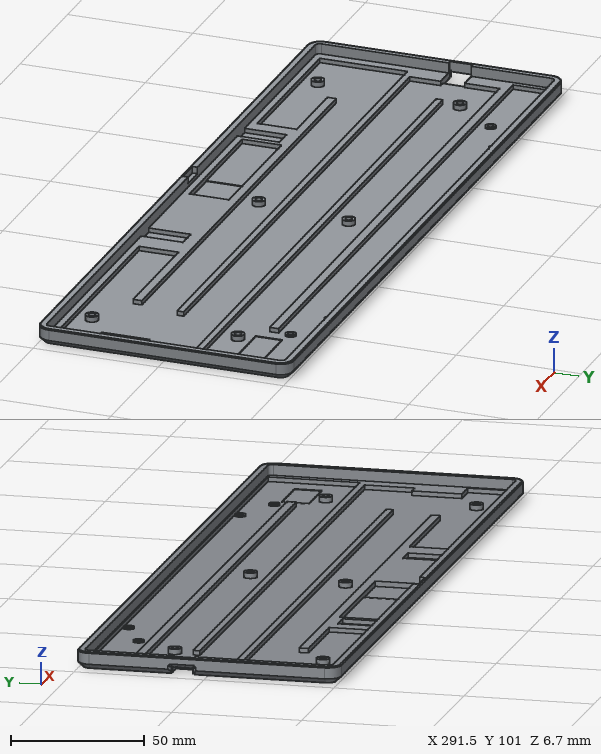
import cadquery as cq

length = 291.5
width = 101.0
height = 6.7
corner_radius = 5.2
bottom_chamfer = 2.0
top_chamfer = 0.45
rim_width = 3.0
inner_corner_radius = 1.7

ledge_top = 2.5
pocket_floor = 1.0
label_floor = 0.5
deep_bay_floor = 0.5

back_y = 47.2
rib_1_back, rib_1_front = 31.5, 28.0
rib_2_back, rib_2_front = 12.0, 9.3
rib_3_back, rib_3_front = -7.3, -10.0
rib_4_back, rib_4_front = -25.7, -29.1
front_y = -45.0

slot_sides = [(-66.7, -59.2), (34.0, 42.3)]
slot_back = -31.0
bay_left, bay_step, bay_right = -56.8, -19.2, -1.5

label_left, label_right = 111.5, 131.7
label_front, label_back = 24.5, 35.0

notch_back, notch_front = 14.0, 5.0
notch_end_x = -136.7
notch_skin = 1.5
plug_top = 4.0
plug_margin = 1.0
plug_corner = 1.0
plug_taper = 45

clip_left, clip_right = -17.2, -7.3
clip_skin = 1.0
clip_floor = 4.0

post_diameter = 5.0
post_hole_diameter = 2.7
post_top = 3.0
post_centers = [(-117.2, 19.2), (0, 19.2), (116.5, 19.2), (-5.2, -18.7), (-119.0, -38.2), (119.0, -38.2)]
ring_diameter = 4.0
ring_hole_diameter = 2.2
ring_top = 1.5
ring_centers = [(-104.0, 36.5), (106.5, 36.5), (-85.5, 45.0), (87.7, 45.0)]

foot_left, foot_right = 122.5, 141.7
foot_depth = 1.2
foot_back = -45.8


def box(x_min, x_max, y_min, y_max, z_min, z_max):
    """Box between two opposite corners."""
    size = (x_max - x_min, y_max - y_min, z_max - z_min)
    return cq.Workplane("XY").box(*size, centered=False).translate((x_min, y_min, z_min))


def cylinders(centers, diameter, z_min, z_max):
    """Upright cylinders of one size at the given centers."""
    plane = cq.Workplane("XY").workplane(offset=z_min)
    return plane.pushPoints(centers).circle(diameter / 2).extrude(z_max - z_min)


tray = cq.Workplane("XY").box(length, width, height, centered=(True, True, False))
tray = tray.edges("|Z").fillet(corner_radius).faces("<Z").chamfer(bottom_chamfer)
tray = tray.faces(">Z").chamfer(top_chamfer)
inner_front = -width / 2 + rim_width
interior = (
    cq.Workplane("XY")
    .workplane(offset=ledge_top)
    .rect(length - 2 * rim_width, width - 2 * rim_width)
    .extrude(height)
    .edges("|Z")
    .fillet(inner_corner_radius)
)
tray = tray.cut(interior)

pocket_outline = [
    (-140.8, back_y), (140.0, back_y),
    (140.0, rib_2_back), (-118.3, rib_2_back), (-118.3, rib_2_front), (137.0, rib_2_front),
    (137.0, rib_3_front), (132.5, rib_3_front), (132.5, rib_4_front), (141.7, rib_4_front),
    (141.7, front_y), (51.5, front_y),
    (51.5, rib_4_front), (99.5, rib_4_front), (99.5, rib_4_back), (-105.2, rib_4_back),
    (-105.2, rib_4_front), (-73.0, rib_4_front),
    (-73.0, front_y), (-138.7, front_y),
    (-138.7, rib_3_front), (103.8, rib_3_front), (103.8, rib_3_back), (-134.5, rib_3_back),
    (-134.5, notch_front), (notch_end_x, notch_front), (notch_end_x, notch_back), (-135.8, notch_back),
    (-135.8, rib_1_front), (106.0, rib_1_front), (106.0, rib_1_back), (-140.8, rib_1_back),
]
pocket = cq.Workplane("XY").workplane(offset=pocket_floor).polyline(pocket_outline).close().extrude(height)
tray = tray.cut(pocket)

for slot_left, slot_right in slot_sides:
    tray = tray.cut(box(slot_left, slot_right, inner_front, slot_back, pocket_floor, height))
tray = tray.cut(box(bay_left, bay_step, front_y, rib_4_front, pocket_floor, height))
tray = tray.cut(box(bay_step, bay_right, front_y, rib_4_front, deep_bay_floor, height))

tray = tray.cut(box(label_left, label_right, label_front, label_back, label_floor, height))

tray = tray.cut(box(-length / 2 + notch_skin, notch_end_x, notch_front, notch_back, 0, height))
plug_back, plug_front = notch_back + plug_margin, notch_front - plug_margin
plug_outline = [
    (plug_front, -plug_top), (plug_back, -plug_top),
    (plug_back, plug_top - plug_corner), (plug_back - plug_corner, plug_top),
    (plug_front + plug_corner, plug_top), (plug_front, plug_top - plug_corner),
]
plug = (
    cq.Workplane("YZ")
    .workplane(offset=-length / 2)
    .polyline(plug_outline)
    .close()
    .extrude(notch_skin, taper=plug_taper)
)
tray = tray.cut(plug)

tray = tray.cut(box(clip_left, clip_right, -width / 2 + clip_skin, inner_front, clip_floor, height))

for side in (-1, 1):
    foot_x = sorted((side * foot_left, side * foot_right))
    tray = tray.cut(box(*foot_x, -width / 2, foot_back, 0, foot_depth))

tray = tray.union(cylinders(post_centers, post_diameter, pocket_floor, post_top))
tray = tray.cut(cylinders(post_centers, post_hole_diameter, pocket_floor, post_top))
tray = tray.union(cylinders(ring_centers, ring_diameter, pocket_floor, ring_top))
tray = tray.cut(cylinders(ring_centers, ring_hole_diameter, 0, ring_top))

result = tray